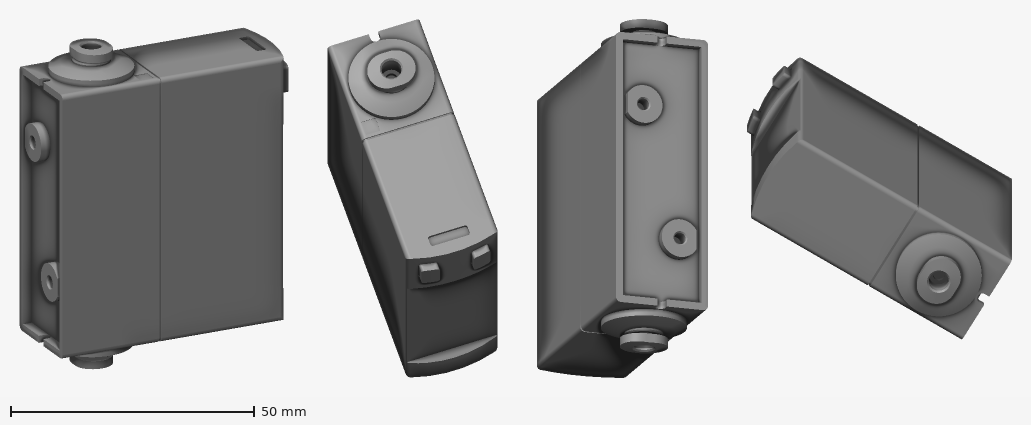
import cadquery as cq
import math


WIDTH = 20.0
HEIGHT = 58.0
REAR_CREST = 52.4
REAR_RADIUS = 30.0
EDGE_RADIUS = 1.05
HALF_WIDTH = WIDTH / 2
HALF_HEIGHT = HEIGHT / 2
REAR_CENTRE = REAR_CREST - REAR_RADIUS
REAR_CORNER = REAR_CENTRE + math.sqrt(REAR_RADIUS**2 - HALF_WIDTH**2)

GROOVE_START = 22.15
GROOVE_WIDTH = 0.5
GROOVE_DEPTH = 0.3

SIDE_WALL = 1.45
END_WALL = 1.5
RECESS_DEPTH = 2.1
PORT_X = 4.0
PORT_Z = 14.0
PORT_DIAMETER = 8.1
PORT_FLAT = 3.5
PORT_LENGTH = RECESS_DEPTH
PORT_HOLE = 2.45
PORT_HOLE_DEPTH = 3.5
PORT_CHAMFER = 0.3
NOTCH_WIDTH = 2.1
NOTCH_DEPTH = 2.1

WINDOW_TOP = 14.1
WINDOW_BOTTOM = -21.9
WINDOW_FLOOR = 50.6
WINDOW_SLOPE = 0.4

KEY_INNER = 3.7
KEY_OUTER = 7.45
KEY_TOP = 25.85
KEY_BOTTOM = 20.0
KEY_RADIUS = 0.6
KEY_ROOT = 50.2
KEY_GAP = 0.2
KEY_GAP_DEPTH = 0.35
OVERALL_DEPTH = 53.65
KEY_FACE_RADIUS = math.hypot(KEY_INNER, OVERALL_DEPTH - REAR_CENTRE)

SLOT_LENGTH = 8.5
SLOT_WIDTH = 2.3
SLOT_Y = 48.5
SLOT_CORNER = 0.5
SLOT_DEPTH = 0.7
LABEL_SIZE = 3.1
LABEL_X = 7.3
LABEL_Y = 19.9
LABEL_DEPTH = 0.15

FITTING_Y = 11.5
FITTING_HEIGHT = (69.7 - HEIGHT) / 2
DOME_DIAMETER = 17.7
DOME_RIM = 1.4
DOME_TOP = 2.6
COLLAR_DIAMETER = 8.1
COLLAR_TOP = 3.2
COLLAR_CHAMFER = 0.3
NECK_DIAMETER = 5.4
HEAD_BOTTOM = 3.75
HEAD_LENGTH = 10.05
HEAD_WIDTH = 8.0
HEAD_CROWN_RADIUS = 27.2
TUBE_DIAMETER = 4.1
TUBE_CHAMFER = 0.35
TUBE_DEPTH = 4.9
BORE_DIAMETER = 2.45


def box(x0, x1, y0, y1, z0, z1):
    """Block between opposite corners."""
    return cq.Workplane("XY").box(x1 - x0, y1 - y0, z1 - z0, centered=False).translate((x0, y0, z0))


def housing_block():
    """Prism with the arched rear, its long edges rounded by the front outline."""
    plan = (
        cq.Workplane("XY", origin=(0, 0, -HALF_HEIGHT))
        .moveTo(-HALF_WIDTH, 0)
        .lineTo(HALF_WIDTH, 0)
        .lineTo(HALF_WIDTH, REAR_CORNER)
        .threePointArc((0, REAR_CREST), (-HALF_WIDTH, REAR_CORNER))
        .close()
        .extrude(HEIGHT)
        .edges("|Z")
        .edges(">Y")
        .fillet(EDGE_RADIUS)
    )
    front_outline = (
        cq.Workplane("XZ")
        .rect(WIDTH, HEIGHT)
        .extrude(-REAR_CREST)
        .edges("|Y")
        .fillet(EDGE_RADIUS)
    )
    return plan.intersect(front_outline)


def parting_groove():
    outer = box(-WIDTH, WIDTH, GROOVE_START, GROOVE_START + GROOVE_WIDTH, -HEIGHT, HEIGHT)
    core = (
        cq.Workplane("XZ", origin=(0, GROOVE_START, 0))
        .rect(WIDTH - 2 * GROOVE_DEPTH, HEIGHT - 2 * GROOVE_DEPTH)
        .extrude(-GROOVE_WIDTH)
        .edges("|Y")
        .fillet(EDGE_RADIUS - GROOVE_DEPTH)
    )
    return outer.cut(core)


def front_recess():
    x, z = HALF_WIDTH - SIDE_WALL, HALF_HEIGHT - END_WALL
    return box(-x, x, 0, RECESS_DEPTH, -z, z)


def notches():
    """Round-ended slot through both end walls of the recess."""
    radius = NOTCH_WIDTH / 2
    end_y = NOTCH_DEPTH - radius
    return (
        cq.Workplane("XY", origin=(0, 0, -HALF_HEIGHT))
        .moveTo(-radius, 0)
        .lineTo(radius, 0)
        .lineTo(radius, end_y)
        .threePointArc((0, NOTCH_DEPTH), (-radius, end_y))
        .close()
        .extrude(HEIGHT)
    )


def port(side):
    """Flat-sided round boss on the recess floor; side is the X sign of its flat."""
    x = side * PORT_X
    front = RECESS_DEPTH - PORT_LENGTH
    plane = cq.Workplane("XZ", origin=(x, front, side * -PORT_Z))
    boss = plane.circle(PORT_DIAMETER / 2).extrude(-PORT_LENGTH)
    flat_x = x + side * PORT_FLAT
    outside = box(0, PORT_DIAMETER, 0, RECESS_DEPTH, -HEIGHT, HEIGHT)
    if side < 0:
        outside = outside.mirror("YZ")
    return boss.cut(outside.translate((flat_x, 0, 0)))


def port_hole(side):
    radius = PORT_HOLE / 2
    profile = (
        cq.Workplane("XY")
        .moveTo(0, 0)
        .lineTo(radius + PORT_CHAMFER, 0)
        .lineTo(radius, PORT_CHAMFER)
        .lineTo(radius, PORT_HOLE_DEPTH)
        .lineTo(0, PORT_HOLE_DEPTH)
        .close()
        .revolve(360, (0, 0, 0), (0, 1, 0))
    )
    return profile.translate((side * PORT_X, RECESS_DEPTH - PORT_LENGTH, side * -PORT_Z))


def display_window():
    rise = OVERALL_DEPTH - WINDOW_FLOOR
    spread = rise * WINDOW_SLOPE
    return (
        cq.Workplane("YZ", origin=(-HALF_WIDTH, 0, 0))
        .moveTo(WINDOW_FLOOR, WINDOW_BOTTOM)
        .lineTo(WINDOW_FLOOR, WINDOW_TOP)
        .lineTo(OVERALL_DEPTH, WINDOW_TOP + spread)
        .lineTo(OVERALL_DEPTH, WINDOW_BOTTOM - spread)
        .close()
        .extrude(WIDTH)
    )


def key_block(margin):
    """Square-ended block of the +X key, grown by a margin all round."""
    bottom = KEY_BOTTOM - margin
    top = KEY_TOP + margin
    block = box(KEY_INNER - margin, KEY_OUTER + margin, KEY_ROOT, OVERALL_DEPTH, bottom, top)
    return block.edges("|Y").fillet(KEY_RADIUS + margin)


def arch_cylinder(radius):
    """Cylinder concentric with the rear face."""
    return cq.Workplane("XY", origin=(0, REAR_CENTRE, 0)).circle(radius).extrude(HALF_HEIGHT)


def both_sides(shape):
    return shape.union(shape.mirror("YZ"))


def keys():
    """Pair of keys whose faces follow the arch of the rear face."""
    return both_sides(key_block(0).intersect(arch_cylinder(KEY_FACE_RADIUS)))


def key_gaps():
    """Shallow moat in the rear face around each key."""
    floor = arch_cylinder(REAR_RADIUS - KEY_GAP_DEPTH)
    return both_sides(key_block(KEY_GAP).cut(key_block(0)).cut(floor))


def top_slot():
    return (
        cq.Workplane("XY", origin=(0, SLOT_Y, HALF_HEIGHT))
        .rect(SLOT_LENGTH, SLOT_WIDTH)
        .extrude(-SLOT_DEPTH)
        .edges("|Z")
        .fillet(SLOT_CORNER)
    )


def label_pocket():
    plane = cq.Workplane("XY", origin=(LABEL_X, LABEL_Y, HALF_HEIGHT))
    return plane.rect(LABEL_SIZE, LABEL_SIZE).extrude(-LABEL_DEPTH)


def make_housing():
    body = housing_block().cut(parting_groove()).cut(front_recess()).cut(notches())
    body = body.cut(display_window()).cut(top_slot()).cut(label_pocket())
    for side in (-1, 1):
        body = body.union(port(side)).cut(port_hole(side))
    return body.cut(key_gaps()).union(keys())


def fitting_base():
    """Domed flange, collar and neck, turned about Z."""
    rim = DOME_DIAMETER / 2
    collar = COLLAR_DIAMETER / 2
    neck = NECK_DIAMETER / 2
    dome_drop = DOME_TOP - DOME_RIM
    dome_radius = ((rim - collar) ** 2 + dome_drop**2) / (2 * dome_drop)
    middle = (rim + collar) / 2
    middle_height = DOME_TOP - dome_radius + math.sqrt(dome_radius**2 - (middle - collar) ** 2)
    return (
        cq.Workplane("XZ")
        .lineTo(rim, 0)
        .lineTo(rim, DOME_RIM)
        .threePointArc((middle, middle_height), (collar, DOME_TOP))
        .lineTo(collar, COLLAR_TOP - COLLAR_CHAMFER)
        .lineTo(collar - COLLAR_CHAMFER, COLLAR_TOP)
        .lineTo(neck, COLLAR_TOP)
        .lineTo(neck, HEAD_BOTTOM)
        .lineTo(0, HEAD_BOTTOM)
        .close()
        .revolve(360, (0, 0, 0), (0, 1, 0))
    )


def release_head():
    """Oval head with a slightly crowned top, full height at the rim of the socket."""
    oval = (
        cq.Workplane("XY", origin=(0, 0, HEAD_BOTTOM))
        .slot2D(HEAD_LENGTH, HEAD_WIDTH)
        .extrude(FITTING_HEIGHT)
    )
    socket_rim = TUBE_DIAMETER / 2 + TUBE_CHAMFER
    crown_centre = FITTING_HEIGHT - math.sqrt(HEAD_CROWN_RADIUS**2 - socket_rim**2)
    crown = cq.Workplane("XY").sphere(HEAD_CROWN_RADIUS)
    return oval.intersect(crown.translate((0, 0, crown_centre)))


def tube_socket():
    """Chamfered socket for the tube, with a narrower bore down to the housing."""
    tube = TUBE_DIAMETER / 2
    bore = BORE_DIAMETER / 2
    socket_floor = FITTING_HEIGHT - TUBE_DEPTH
    return (
        cq.Workplane("XZ")
        .lineTo(bore, 0)
        .lineTo(bore, socket_floor)
        .lineTo(tube, socket_floor)
        .lineTo(tube, FITTING_HEIGHT - TUBE_CHAMFER)
        .lineTo(tube + TUBE_CHAMFER, FITTING_HEIGHT)
        .lineTo(tube + TUBE_CHAMFER, 2 * FITTING_HEIGHT)
        .lineTo(0, 2 * FITTING_HEIGHT)
        .close()
        .revolve(360, (0, 0, 0), (0, 1, 0))
    )


def make_fitting(end):
    """Push-in fitting on the top (end = 1) or bottom (end = -1) face of the housing."""
    fitting = fitting_base().union(release_head()).cut(tube_socket())
    fitting = fitting.translate((0, FITTING_Y, HALF_HEIGHT))
    return fitting if end > 0 else fitting.mirror("XY")


housing = make_housing()
fittings = [make_fitting(end) for end in (1, -1)]

result = cq.Compound.makeCompound([housing.val(), *[fitting.val() for fitting in fittings]])